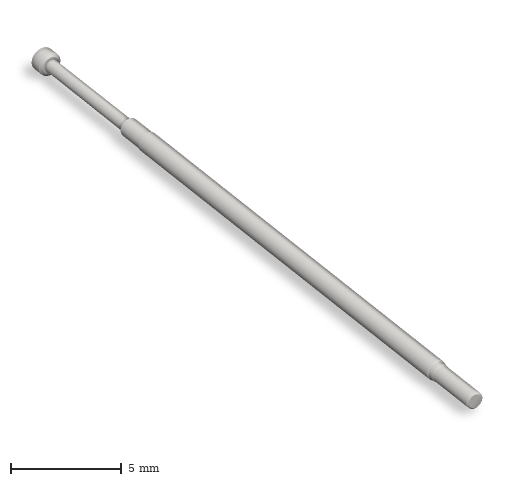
import cadquery as cq


total_length = 35.81
tip_length = 0.51
head_cylinder_end = 1.10
head_end = 1.25
neck_end = 1.35
collar_start = 7.60
collar_end = 8.90
body_start = 9.10
body_end = 32.64
shoulder_start = 32.71
shoulder_chamfer_start = 32.97
shoulder_end = 33.07
tail_chamfer = 0.08

head_diameter = 1.17
head_back_diameter = 0.90
neck_diameter = 0.645
stem_diameter = 0.67
collar_diameter = 0.95
rim_diameter = 0.97
body_diameter = 1.02
shoulder_diameter = 0.90
tail_diameter = 0.86

head_radius = head_diameter / 2
head_back_radius = head_back_diameter / 2
neck_radius = neck_diameter / 2
stem_radius = stem_diameter / 2
collar_radius = collar_diameter / 2
rim_radius = rim_diameter / 2
body_radius = body_diameter / 2
shoulder_radius = shoulder_diameter / 2
tail_radius = tail_diameter / 2


def build_probe():
    """Revolve the half profile of the probe about the X axis."""
    profile = (
        cq.Workplane("XY")
        .moveTo(0, 0)
        .lineTo(tip_length, head_radius)
        .lineTo(head_cylinder_end, head_radius)
        .lineTo(head_end, head_back_radius)
        .lineTo(head_end, neck_radius)
        .lineTo(neck_end, neck_radius)
        .lineTo(collar_start, stem_radius)
        .lineTo(collar_start, collar_radius)
        .lineTo(collar_end, collar_radius)
        .lineTo(body_start, rim_radius)
        .lineTo(body_start, body_radius)
        .lineTo(body_end, body_radius)
        .lineTo(shoulder_start, shoulder_radius)
        .lineTo(shoulder_chamfer_start, shoulder_radius)
        .lineTo(shoulder_end, tail_radius)
        .lineTo(total_length - tail_chamfer, tail_radius)
        .lineTo(total_length, tail_radius - tail_chamfer)
        .lineTo(total_length, 0)
        .close()
    )
    return profile.revolve(360, (0, 0, 0), (1, 0, 0))


result = build_probe()